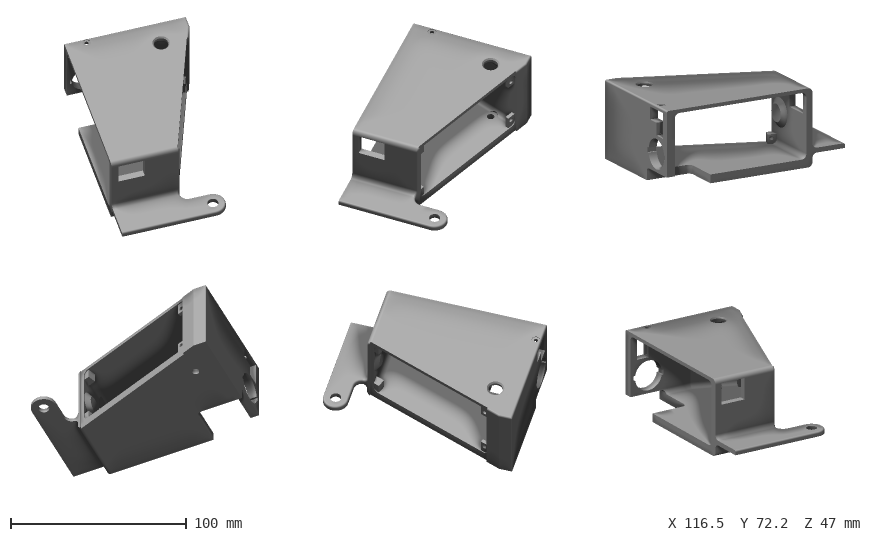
import cadquery as cq
import math

length = 116.5
depth = 72.2
height = 47.0

box_width = 95.1
box_corner = 2.9
floor = 5.2
roof = 2.2
left_wall = 5.2
right_wall = 4.0
back_corner_round = 0.5
edge_round = 1.0

taper_degrees = 20.2
flat_back = 7.7
back_recess = 0.99
opening_x = 15.5
recess_right = 93.3

lug_bottom = 8.0
lug_thickness = 2.9
lug_end_radius = 7.3
lug_hole_radius = 3.1
lug_hole_y = 56.0
neck_radius = 4.8

cavity_round = 3.0

screw_radius = 1.3
left_screw_along = 2.9
right_screw_along = 79.5
left_screw_inset = 4.7
right_screw_inset = 3.6
left_block_width = 5.4
left_block_height = 7.6
right_block_start = 77.4
right_block_end = 83.8
right_block_height = 5.8
left_block_length = 2.1
right_block_length = 5.1
block_setback = 0.6
right_screw_depth = 4.1

notch_depth = 23.0
notch_right = 28.5
notch_plan_radius = 2.8
notch_height = 7.6
notch_wall_radius = 2.0

window_front = 4.3
window_back = 19.7
window_step = 12.1
window_top = 44.8
window_ledge = 37.0
window_bottom = 29.5
groove_start = 2.2
groove_width = 1.7
groove_depth = 0.6
groove_margin = 0.6

port_y = 12.1
port_z = 18.4
port_radius = 9.1
key_span = 20.1
key_height = 2.9

side_window_front = 4.0
side_window_bottom = 31.2
side_window_top = 44.3

knob_y = 31.0
knob_z = 24.9
knob_base_radius = 8.9
knob_tip_radius = 5.5
knob_length = 2.5

access_x = 15.3
access_y = 53.1
access_radius = 4.2
access_rim_radius = 5.0
floor_hole_radius = 2.1

pin_x = 3.1
pin_y = 12.3
pin_radius = 1.2
pin_rim_radius = 2.5
pin_rim_depth = 0.3

clear = 1.2

taper = math.radians(taper_degrees)
lean = math.tan(taper)
lug_top = lug_bottom + lug_thickness
lug_x = length - lug_end_radius
neck_x = lug_x - lug_end_radius - neck_radius
ceiling = height - roof
right_inner = box_width - right_wall


def slope_y(x, inset=0.0):
    """Y of the sloping back at x, moved inwards by inset."""
    return depth - (x - flat_back) * lean - inset / math.cos(taper)


neck_y = slope_y(neck_x) + neck_radius / math.cos(taper)

opening_y = slope_y(opening_x, back_recess)
kink_y = opening_y - (opening_x - left_wall) / lean


def block(x0, x1, y0, y1, z0, z1):
    return cq.Workplane("XY").box(x1 - x0, y1 - y0, z1 - z0, centered=False).translate((x0, y0, z0))


def upright(x, y, radius, z0, z1):
    return cq.Workplane("XY").workplane(offset=z0).center(x, y).circle(radius).extrude(z1 - z0)


def countersink(x, y, radius, rim_radius):
    """Cone that opens from radius to rim_radius at the roof surface."""
    sink = rim_radius - radius
    cone = cq.Solid.makeCone(radius, rim_radius, sink, pnt=cq.Vector(x, y, height - sink))
    return cq.Workplane(cone)


def front_profile():
    r = box_corner
    return (
        cq.Workplane("XZ")
        .lineTo(box_width - r, 0)
        .radiusArc((box_width, r), -r)
        .lineTo(box_width, lug_bottom - r)
        .radiusArc((box_width + r, lug_bottom), r)
        .lineTo(length, lug_bottom)
        .lineTo(length, lug_top)
        .lineTo(box_width + r, lug_top)
        .radiusArc((box_width, lug_top + r), r)
        .lineTo(box_width, height - r)
        .radiusArc((box_width - r, height), -r)
        .lineTo(0, height)
        .close()
        .extrude(-depth)
    )


def plan_outline():
    tangent = (neck_x - neck_radius * math.sin(taper), neck_y - neck_radius * math.cos(taper))
    return (
        cq.Workplane("XY")
        .lineTo(length, 0)
        .lineTo(length, lug_hole_y)
        .threePointArc((lug_x, lug_hole_y + lug_end_radius), (lug_x - lug_end_radius, lug_hole_y))
        .lineTo(lug_x - lug_end_radius, neck_y)
        .radiusArc(tangent, neck_radius)
        .lineTo(flat_back, depth)
        .lineTo(0, depth)
        .close()
        .extrude(height)
    )


def outer_shape():
    solid = front_profile().intersect(plan_outline())
    solid = solid.faces(">Z").edges("not(<Y or >X)").fillet(edge_round)
    return solid.edges("|Z and <X and >Y").fillet(back_corner_round)


def prism(points, z0, z1):
    return cq.Workplane("XY").workplane(offset=z0).polyline(points).close().extrude(z1 - z0)


def cavity():
    beyond = depth + clear
    points = [
        (left_wall, -clear),
        (right_inner, -clear),
        (right_inner, beyond),
        (opening_x + (beyond - opening_y) * lean, beyond),
        (left_wall, kink_y),
    ]
    lengthwise = "#Z and (not <Y) and (not >Y)"
    return prism(points, floor, ceiling).edges(lengthwise).fillet(cavity_round)


def recess():
    """Everything behind the recessed back, between the left opening edge and the right post."""
    beyond = depth + clear
    points = [
        (opening_x, opening_y),
        (recess_right, slope_y(recess_right, back_recess)),
        (recess_right, beyond),
        (opening_x + (beyond - opening_y) * lean, beyond),
    ]
    return prism(points, -clear, height + clear)


back_plane = cq.Plane(
    origin=(opening_x, opening_y, 0),
    xDir=(math.cos(taper), -math.sin(taper), 0),
    normal=(-math.sin(taper), -math.cos(taper), 0),
)


def on_back(inset):
    """Workplane parallel to the back, inset into the part; its axes run along the back and up."""
    return cq.Workplane(back_plane).workplane(offset=inset)


def screw_block(start, end, block_height, length_inwards):
    """Pair of blocks, one hanging from the roof and one standing on the floor."""
    size_z = block_height + clear
    centers = [
        ((start + end) / 2, floor - clear + size_z / 2),
        ((start + end) / 2, ceiling + clear - size_z / 2),
    ]
    return on_back(block_setback).pushPoints(centers).rect(end - start, size_z).extrude(length_inwards)


def screw_holes(along, from_shell, front_inset, hole_depth):
    """Pair of holes drilled from the front of the blocks towards the back."""
    centers = [(along, floor + from_shell), (along, ceiling - from_shell)]
    return on_back(front_inset).pushPoints(centers).circle(screw_radius).extrude(-hole_depth)


def corner_notch():
    in_floor = block(-clear, notch_right, -clear, notch_depth, -clear, floor)
    in_floor = in_floor.edges("|Z and >X and >Y").fillet(notch_plan_radius)
    in_wall = block(-clear, left_wall + cavity_round, -clear, notch_depth, -clear, notch_height)
    in_wall = in_wall.edges("|X and >Y and >Z").fillet(notch_wall_radius)
    return in_floor.union(in_wall)


def stepped_window():
    inside = left_wall + clear
    groove_end = groove_start + groove_width
    upper = block(-clear, inside, window_front, window_back, window_ledge, window_top)
    lower = block(-clear, inside, window_front, window_step, window_bottom, window_top)
    groove = block(
        groove_start,
        groove_end,
        window_front,
        window_step + groove_depth,
        window_bottom + groove_margin,
        window_ledge - groove_margin,
    )
    return upper.union(lower).union(groove)


def keyed_port():
    inside = left_wall + clear
    round_part = cq.Workplane("YZ").center(port_y, port_z).circle(port_radius).extrude(inside)
    keys = cq.Workplane("YZ").center(port_y, port_z).rect(key_span, key_height).extrude(inside)
    return round_part.union(keys)


def side_window():
    return block(
        right_inner - clear,
        box_width + clear,
        side_window_front,
        window_back,
        side_window_bottom,
        side_window_top,
    )


def knob():
    cone = cq.Solid.makeCone(
        knob_base_radius,
        knob_tip_radius,
        knob_length,
        pnt=cq.Vector(right_inner, knob_y, knob_z),
        dir=cq.Vector(-1, 0, 0),
    )
    return cq.Workplane(cone)


left_front = block_setback + left_block_length
right_front = block_setback + right_block_length

result = outer_shape().cut(cavity())
left_blocks = screw_block(-clear, left_block_width, left_block_height, left_block_length)
right_blocks = screw_block(right_block_start, right_block_end, right_block_height, right_block_length)
result = result.union(left_blocks).union(right_blocks)
result = result.cut(recess())
result = result.cut(screw_holes(left_screw_along, left_screw_inset, left_front, left_front + clear))
result = result.cut(screw_holes(right_screw_along, right_screw_inset, right_front, right_screw_depth))
result = result.cut(corner_notch()).cut(stepped_window()).cut(keyed_port()).cut(side_window())
result = result.union(knob())

result = result.cut(upright(access_x, access_y, access_radius, floor, height + clear))
result = result.cut(countersink(access_x, access_y, access_radius, access_rim_radius))
result = result.cut(upright(access_x, access_y, floor_hole_radius, -clear, floor + clear))

result = result.cut(upright(pin_x, pin_y, pin_radius, window_top - clear, height + clear))
result = result.cut(upright(pin_x, pin_y, pin_rim_radius, height - pin_rim_depth, height + clear))

result = result.cut(upright(lug_x, lug_hole_y, lug_hole_radius, lug_bottom - clear, lug_top + clear))